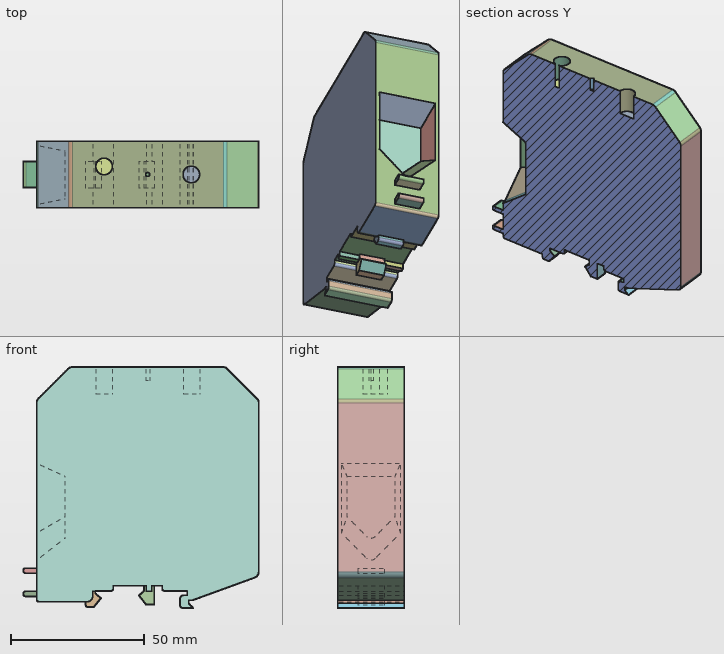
import cadquery as cq
import math

body_length = 83.09
body_width = 25.0
body_height = 87.79
top_chamfer = 12.5
top_blend_radius = 2.0
corner_radius = 1.0

recess_start = 21.0
recess_height = 4.0
recess_entry_radius = 2.2
channel_start = 28.75
channel_end = 46.9
channel_height = 6.0
channel_edge_radius = 1.0
recess_end = 56.3
hook_tip_x = 53.6
hook_ledge_height = 2.5
hook_drop = 2.3
hook_shoulder_radius = 1.4
hook_toe_x = 58.6
hook_notch_x = 56.9
hook_notch_bottom = -0.6
hook_notch_top = 0.6
slope_start = 58.4
slope_angle = 20.0
slope_radius = 2.5

tab_start = 41.0
tab_length = 2.0

fitting_width = 9.8

foot_left = 18.3
foot_bottom = -2.0
foot_toe_x = 21.4
foot_nose_x = 24.1
foot_nose_height = 1.4
foot_neck_x = 21.95
foot_neck_height = 3.2

catch_left = 40.1
catch_right = 44.0
catch_nose_x = 38.2
catch_nose_height = 2.4
catch_toe_x = 40.9
catch_bottom = -1.0

pin_length = 5.0
pin_thickness = 2.0
pin_levels = (3.0, 11.65)

pocket_depth = 10.5
pocket_center_y = 12.4
mouth_half_width = 11.05
mouth_top = 51.85
mouth_shoulder = 25.8
floor_half_width = 8.95
floor_top = 47.0
floor_shoulder = 31.9
pocket_tip_radius = 2.2

socket_diameter = 6.2
socket_depth = 10.0
socket_spacing = 32.6
left_socket_offset_y = 3.0
pilot_diameter = 1.5
pilot_depth = 5.0

mid_x = body_length / 2
mid_y = body_width / 2


def extrude_along_y(profile, start_y, width):
    """Extrude an XZ profile towards +Y, starting at start_y."""
    return profile.extrude(-width).translate((0, start_y, 0))


def extrude_fitting(profile):
    """Extrude an XZ profile over the fitting width, centred across the housing."""
    return extrude_along_y(profile, mid_y - fitting_width / 2, fitting_width)


def round_edges(solid, points, radius):
    """Round the Y-direction edges that pass through the given XZ points."""
    reach = 0.05
    for x, z in points:
        box = cq.selectors.BoxSelector(
            (x - reach, -reach, z - reach),
            (x + reach, body_width + reach, z + reach),
        )
        solid = solid.edges("|Y").edges(box).fillet(radius)
    return solid


def make_body():
    """Housing outline with its rail recess and fixed hook, rounded at the corners."""
    slope_rise = (body_length - slope_start) * math.tan(math.radians(slope_angle))
    slope_end = hook_notch_top + slope_rise
    shoulder_z = body_height - top_chamfer
    right_top_x = body_length - top_chamfer
    outline = [
        (0, 0),
        (recess_start, 0),
        (recess_start, recess_height),
        (channel_start, recess_height),
        (channel_start, channel_height),
        (tab_start, channel_height),
        (tab_start, recess_height),
        (tab_start + tab_length, recess_height),
        (tab_start + tab_length, channel_height),
        (channel_end, channel_height),
        (channel_end, recess_height),
        (recess_end, recess_height),
        (recess_end, hook_ledge_height),
        (hook_tip_x, hook_ledge_height),
        (hook_tip_x, -hook_drop),
        (hook_toe_x, -hook_drop),
        (hook_notch_x, hook_notch_bottom),
        (hook_notch_x, hook_notch_top),
        (slope_start, hook_notch_top),
        (body_length, slope_end),
        (body_length, shoulder_z),
        (right_top_x, body_height),
        (top_chamfer, body_height),
        (0, shoulder_z),
    ]
    body = extrude_along_y(cq.Workplane("XZ").polyline(outline).close(), 0, body_width)

    top_corners = [
        (0, shoulder_z),
        (top_chamfer, body_height),
        (right_top_x, body_height),
        (body_length, shoulder_z),
    ]
    body = round_edges(body, top_corners, top_blend_radius)
    body = round_edges(body, [(body_length, slope_end)], slope_radius)
    body = round_edges(body, [(recess_start, 0)], recess_entry_radius)
    body = round_edges(body, [(hook_tip_x, hook_ledge_height)], hook_shoulder_radius)
    small_corners = [(0, 0), (hook_tip_x, -hook_drop)]
    body = round_edges(body, small_corners, corner_radius)
    channel_edges = [(channel_start, recess_height), (channel_end, recess_height)]
    return round_edges(body, channel_edges, channel_edge_radius)


def make_foot():
    """Sliding foot at the left end of the recess, with its nose facing +X."""
    outline = [
        (foot_left, foot_bottom),
        (foot_toe_x, foot_bottom),
        (foot_nose_x, foot_nose_height),
        (foot_neck_x, foot_neck_height),
        (foot_neck_x, recess_height),
        (foot_left, recess_height),
    ]
    foot = extrude_fitting(cq.Workplane("XZ").polyline(outline).close())
    return round_edges(foot, [(foot_left, foot_bottom)], corner_radius)


def make_catch():
    """Catch in the middle of the channel, with its nose facing -X."""
    outline = [
        (catch_left, channel_height),
        (catch_left, recess_height),
        (catch_nose_x, catch_nose_height),
        (catch_toe_x, catch_bottom),
        (catch_right, catch_bottom),
        (catch_right, channel_height),
    ]
    return extrude_fitting(cq.Workplane("XZ").polyline(outline).close())


def make_pin(center_z):
    """Flat contact pin with a fully rounded end, standing out of the left wall."""
    nose_radius = pin_thickness / 2
    nose_start = nose_radius - pin_length
    profile = (
        cq.Workplane("XZ")
        .moveTo(0, center_z - nose_radius)
        .lineTo(nose_start, center_z - nose_radius)
        .threePointArc((-pin_length, center_z), (nose_start, center_z + nose_radius))
        .lineTo(0, center_z + nose_radius)
        .close()
    )
    return extrude_fitting(profile)


def pocket_section(workplane, half_width, top, shoulder):
    """House-shaped section, point down: 45 degree flanks and a rounded tip."""
    tip_half_width = pocket_tip_radius * math.sin(math.radians(45))
    sharp_tip = shoulder - half_width
    flank_end = sharp_tip + tip_half_width
    tip_bottom = sharp_tip + pocket_tip_radius * (math.sqrt(2) - 1)
    return (
        workplane.moveTo(-half_width, top)
        .lineTo(-half_width, shoulder)
        .lineTo(-tip_half_width, flank_end)
        .threePointArc((0, tip_bottom), (tip_half_width, flank_end))
        .lineTo(half_width, shoulder)
        .lineTo(half_width, top)
        .close()
    )


def make_pocket():
    """Tapered cutter running from the pocket mouth to its smaller floor."""
    mouth_plane = cq.Workplane("YZ", origin=(0, pocket_center_y, 0))
    mouth = pocket_section(mouth_plane, mouth_half_width, mouth_top, mouth_shoulder)
    floor_plane = mouth.workplane(offset=pocket_depth)
    floor = pocket_section(floor_plane, floor_half_width, floor_top, floor_shoulder)
    return floor.loft(ruled=True)


def make_top_hole(x, y, diameter, depth):
    """Cutter for a flat-bottomed round hole in the top face."""
    top = cq.Workplane("XY", origin=(x, y, body_height))
    return top.circle(diameter / 2).extrude(-depth)


result = make_body().union(make_foot()).union(make_catch())
for pin_z in pin_levels:
    result = result.union(make_pin(pin_z))

result = result.cut(make_pocket())

left_socket_x = mid_x - socket_spacing / 2
right_socket_x = mid_x + socket_spacing / 2
left_socket_y = mid_y + left_socket_offset_y
result = result.cut(make_top_hole(left_socket_x, left_socket_y, socket_diameter, socket_depth))
result = result.cut(make_top_hole(right_socket_x, mid_y, socket_diameter, socket_depth))
result = result.cut(make_top_hole(mid_x, mid_y, pilot_diameter, pilot_depth))